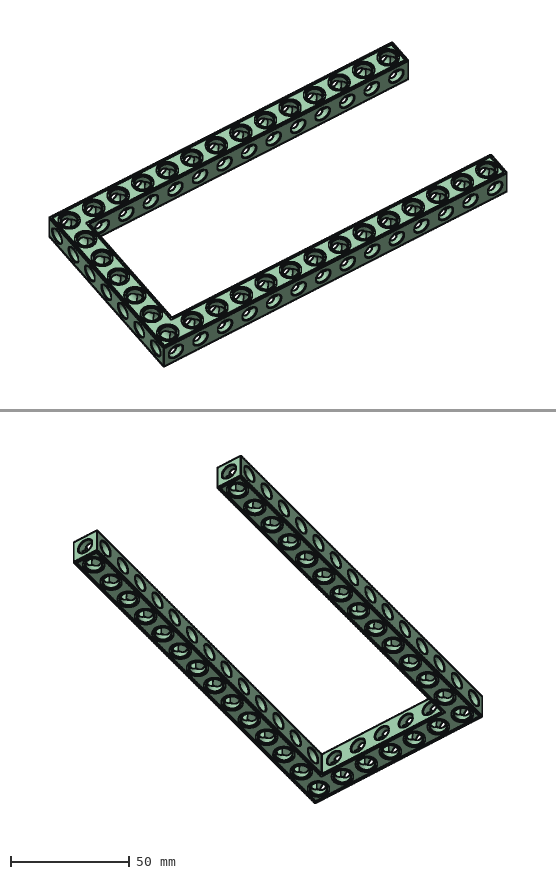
import cadquery as cq

holes_across = 7
holes_along = 14
length = 175.0
pitch = length / holes_along
width = holes_across * pitch
bar = pitch

hole_diameter = 7.0
collar_diameter = 9.3
edge_chamfer = 0.3
rim_width = 1.08
panel_depth = 0.2

x_places = [(i + 0.5) * pitch - width / 2 for i in range(holes_across)]
y_places = [(i + 0.5) * pitch - length / 2 for i in range(holes_along)]
arm_centres = [(x, y) for x in (x_places[0], x_places[-1]) for y in y_places]
base_centres = [(x, y_places[0]) for x in x_places[1:-1]]
vertical_centres = arm_centres + base_centres

outer_x = width / 2
inner_x = outer_x - bar
outer_y = length / 2
base_inner_y = bar - outer_y


def u_block(inset, height):
    """U-shaped block open toward +Y, its outline moved inward by the inset."""
    outside = cq.Workplane("XY").box(width - 2 * inset, length - 2 * inset, height)
    opening = cq.Workplane("XY").box(2 * (inner_x + inset), length, height)
    return outside.cut(opening.translate((0, bar - inset, 0)))


def sunken_panel():
    """Cutter centred on a face: the U inside its rim, less the collars round the holes."""
    collars = (
        cq.Workplane("XY")
        .pushPoints(vertical_centres)
        .circle(collar_diameter / 2)
        .extrude(panel_depth, both=True)
    )
    return u_block(rim_width, 2 * panel_depth).cut(collars)


def rods(plane, centres, span):
    """Straight cutters for a row of through holes, centred on the plane."""
    return (
        cq.Workplane(plane)
        .pushPoints(centres)
        .circle(hole_diameter / 2)
        .extrude(span / 2, both=True)
        .vals()
    )


def mouth(point, inward):
    """Conical cutter that chamfers one hole where it meets a face."""
    radius = hole_diameter / 2
    return cq.Solid.makeCone(
        radius + edge_chamfer, radius, edge_chamfer, cq.Vector(*point), cq.Vector(*inward)
    )


def hole_mouths():
    """Chamfer cutters for every hole end on the outer and inner faces."""
    cones = []
    for side in (1, -1):
        into_part = -side
        for x, y in vertical_centres:
            cones.append(mouth((x, y, side * bar / 2), (0, 0, into_part)))
        for y in y_places:
            cones.append(mouth((side * outer_x, y, 0), (into_part, 0, 0)))
        for y in y_places[1:]:
            cones.append(mouth((side * inner_x, y, 0), (side, 0, 0)))
        for x in (x_places[0], x_places[-1]):
            cones.append(mouth((x, side * outer_y, 0), (0, into_part, 0)))
    for x in x_places[1:-1]:
        cones.append(mouth((x, -outer_y, 0), (0, 1, 0)))
        cones.append(mouth((x, base_inner_y, 0), (0, -1, 0)))
    return cones


frame = u_block(0, bar).edges().chamfer(edge_chamfer)
for face_z in (bar / 2, -bar / 2):
    frame = frame.cut(sunken_panel().translate((0, 0, face_z)))

body = frame.val()
for row in (
    rods("XY", vertical_centres, bar),
    rods("XZ", [(x, 0) for x in x_places], length),
    rods("YZ", [(y, 0) for y in y_places], width),
):
    body = body.cut(*row)
body = body.cut(*hole_mouths())

result = cq.Workplane(obj=body.Solids()[0])